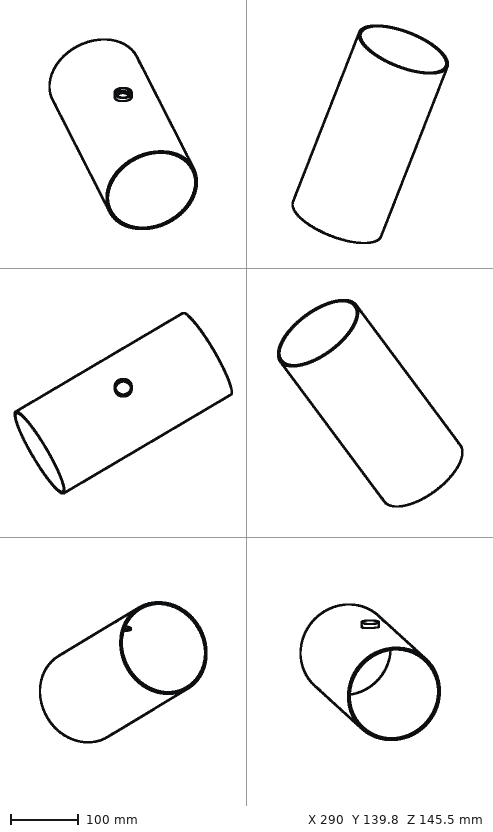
import cadquery as cq

pipe_length = 290.0
pipe_outer_diameter = 139.8
pipe_inner_diameter = 133.8

stub_outer_diameter = 25.4
stub_inner_diameter = 23.0
overall_height = 145.5
stub_top = overall_height - pipe_outer_diameter / 2


def pipe_cylinder(diameter):
    """Cylinder along X with the full length of the pipe."""
    return cq.Workplane("YZ").circle(diameter / 2).extrude(pipe_length / 2, both=True)


def stub_cylinder(diameter):
    """Vertical cylinder from the pipe axis up to the stub's rim."""
    return cq.Workplane("XY").circle(diameter / 2).extrude(stub_top)


outside = pipe_cylinder(pipe_outer_diameter).union(stub_cylinder(stub_outer_diameter))
result = outside.cut(pipe_cylinder(pipe_inner_diameter)).cut(stub_cylinder(stub_inner_diameter))